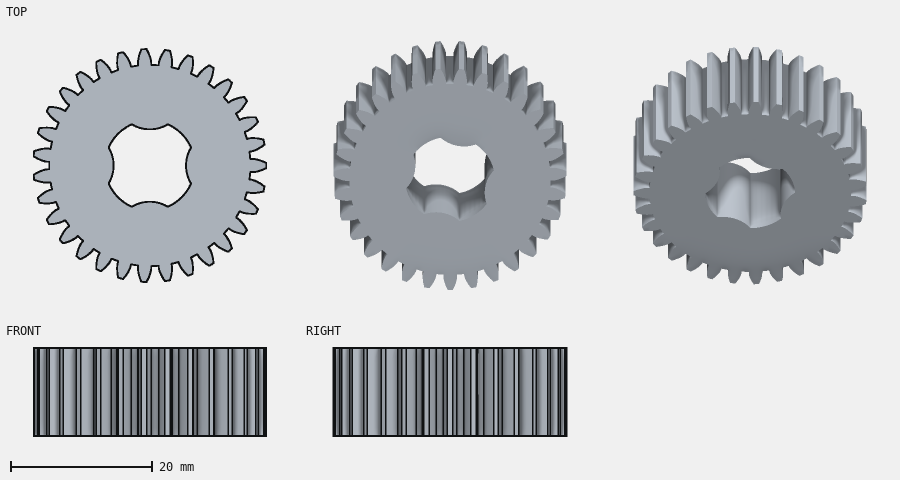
import cadquery as cq
import math

module = 1.0
tooth_count = 31
pressure_angle = math.radians(20)
face_width = 12.5

bore_radius = 6.35
bulge_reach = 5.1
bulge_radius = 4.9
bulge_count = 4

addendum = module
root_clearance = 0.25 * module
dedendum = module + root_clearance
flank_point_count = 6

pitch_radius = module * tooth_count / 2
base_radius = pitch_radius * math.cos(pressure_angle)
tip_radius = pitch_radius + addendum
root_radius = pitch_radius - dedendum
tooth_pitch = 2 * math.pi / tooth_count


def involute(angle):
    """Involute function: polar angle swept at the given pressure angle."""
    return math.tan(angle) - angle


def polar(radius, angle):
    return (radius * math.cos(angle), radius * math.sin(angle))


def half_tooth_angle(radius):
    """Half the angle a tooth spans at a radius; flanks are radial below the base circle."""
    local_pressure_angle = math.acos(base_radius / max(radius, base_radius))
    half_angle_at_pitch = tooth_pitch / 4
    return half_angle_at_pitch + involute(pressure_angle) - involute(local_pressure_angle)


def gear_profile():
    """Closed outline of the gear, with the first tooth centred on +X."""
    flank_step = (tip_radius - base_radius) / (flank_point_count - 1)
    flank_radii = [base_radius + i * flank_step for i in range(flank_point_count)]
    root_half_angle = half_tooth_angle(root_radius)
    tip_half_angle = half_tooth_angle(tip_radius)

    profile = cq.Workplane("XY").moveTo(*polar(root_radius, -root_half_angle))
    for tooth in range(tooth_count):
        middle = tooth * tooth_pitch
        rising = [polar(r, middle - half_tooth_angle(r)) for r in flank_radii]
        falling = [polar(r, middle + half_tooth_angle(r)) for r in reversed(flank_radii)]
        next_root_start = middle + tooth_pitch - root_half_angle

        profile = profile.lineTo(*rising[0]).spline(rising[1:], includeCurrent=True)
        profile = profile.threePointArc(
            polar(tip_radius, middle), polar(tip_radius, middle + tip_half_angle)
        )
        profile = profile.spline(falling[1:], includeCurrent=True)
        profile = profile.lineTo(*polar(root_radius, middle + root_half_angle))
        profile = profile.threePointArc(
            polar(root_radius, middle + tooth_pitch / 2), polar(root_radius, next_root_start)
        )
    return profile.close()


def bore_cutter():
    """Round bore with a cylindrical bulge left standing on each axis."""
    cutter = cq.Workplane("XY").circle(bore_radius).extrude(face_width)
    bulges = (
        cq.Workplane("XY")
        .polarArray(bulge_reach + bulge_radius, 0, 360, bulge_count)
        .circle(bulge_radius)
        .extrude(face_width)
    )
    return cutter.cut(bulges)


result = gear_profile().extrude(face_width).cut(bore_cutter())